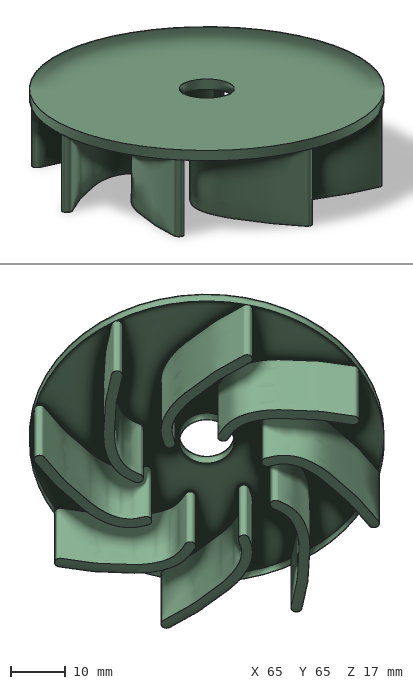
import cadquery as cq
import math

disk_diameter = 65.0
total_height = 17.0
disk_thickness = 2.0
bore_diameter = 10.0

blade_count = 8
blade_thickness = 2.0
inner_end_radius = 13.0
inner_lean = 13.0
inner_handle = 4.9
outer_sweep = 42.0
outer_handle = 18.2
side_spans = 6

blade_height = total_height - disk_thickness
blade_pitch = 360.0 / blade_count
half_thickness = blade_thickness / 2
tip_radius = disk_diameter / 2 - half_thickness


def polar(radius, angle):
    """Vector at a distance and an angle in degrees from the axis."""
    turn = math.radians(angle)
    return cq.Vector(radius * math.cos(turn), radius * math.sin(turn))


inner_end = polar(inner_end_radius, -blade_pitch)
inner_control = inner_end + polar(inner_handle, inner_lean - blade_pitch)
outer_end = polar(tip_radius, 0)
outer_control = outer_end + polar(outer_handle, 180 + outer_sweep)


def middle_point(t):
    """Point on the blade's middle curve, from the inner end (t = 0) to the tip (t = 1)."""
    s = 1 - t
    return (
        inner_end * s**3
        + inner_control * (3 * s**2 * t)
        + outer_control * (3 * s * t**2)
        + outer_end * t**3
    )


def direction(t):
    """Unit direction of the middle curve, towards the tip."""
    s = 1 - t
    slope = (
        (inner_control - inner_end) * s**2
        + (outer_control - inner_control) * (2 * s * t)
        + (outer_end - outer_control) * t**2
    )
    return slope.normalized()


def side_edge(side):
    """Curved side of the blade: side is +1 for the hollow side and -1 for the bulging side."""
    points = []
    for step in range(side_spans + 1):
        t = step / side_spans
        along = direction(t)
        across = cq.Vector(-along.y, along.x)
        points.append(middle_point(t) + across * (side * half_thickness))
    return cq.Edge.makeSpline(points, tangents=[direction(0), direction(1)])


def make_disk():
    """Flat top disk with the central bore."""
    return (
        cq.Workplane("XY", origin=(0, 0, blade_height))
        .circle(disk_diameter / 2)
        .circle(bore_diameter / 2)
        .extrude(disk_thickness)
    )


def make_blade():
    """Curved blade of even thickness with half-round ends, standing under the disk."""
    hollow_side = side_edge(1)
    bulging_side = side_edge(-1)
    inner_round = cq.Edge.makeThreePointArc(
        hollow_side.startPoint(),
        inner_end - direction(0) * half_thickness,
        bulging_side.startPoint(),
    )
    outer_round = cq.Edge.makeThreePointArc(
        hollow_side.endPoint(),
        outer_end + direction(1) * half_thickness,
        bulging_side.endPoint(),
    )
    outline = cq.Wire.assembleEdges([hollow_side, outer_round, bulging_side, inner_round])
    return cq.Workplane("XY").add(outline).toPending().extrude(blade_height)


blade = make_blade()
result = make_disk()
for index in range(blade_count):
    result = result.union(blade.rotate((0, 0, 0), (0, 0, 1), index * blade_pitch))